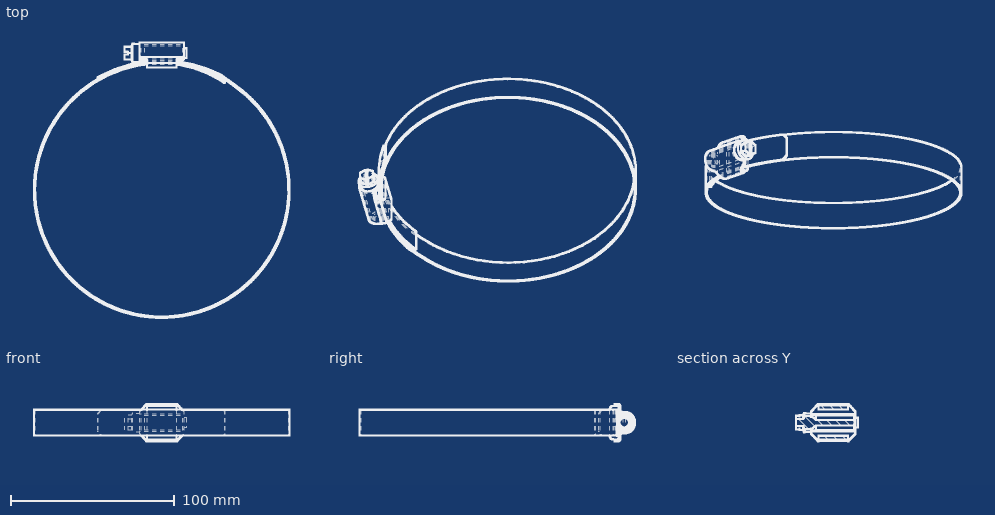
import cadquery as cq
import math


BAND_RADIUS = 78.19
BAND_THICKNESS = 0.8
BAND_WIDTH = 16.0
LAYER_GAP = 0.1
OUTER_END_ANGLE = -29.75
JOG_START_ANGLE = 27.0
JOG_END_ANGLE = 35.0
TAIL_START_ANGLE = -4.0
TAIL_END_ANGLE = 31.2
TAIL_CENTER_SHIFT = 8.0
TONGUE_LENGTH = 3.6
TONGUE_BEND = 3.0
OUTER_CORNER_CUT = 2.5
TONGUE_CORNER_CUT = 1.0

SCREW_Y = 83.6
HEAD_START_X = -22.85
HEAD_FLATS = 8.0
SLOT_WIDTH = 1.4
SLOT_DEPTH = 2.2
COLLAR_START_X = -18.4
COLLAR_BEVEL_LENGTH = 0.5
COLLAR_RADIUS = 6.0
COLLAR_LENGTH = 1.3
NECK_RADIUS = 5.7
JOURNAL_LENGTH = 1.0
SHAFT_RADIUS = 4.4
SHAFT_CONE_LENGTH = 2.2
SHAFT_END_X = 13.5
SHAFT_CHAMFER = 0.8
TIP_RADIUS = 3.0
TIP_END_X = 15.2

HOUSING_LENGTH = 27.4
DOME_RADIUS = 6.6
SHEET = 1.2
BORE_RADIUS = DOME_RADIUS - SHEET
FLANGE_TOP_Y = 81.3
FLANGE_BOTTOM_Y = FLANGE_TOP_Y - SHEET
FLANGE_HALF_WIDTH = 11.5
LIP_BOTTOM_Y = 77.7
LIP_BEND_RADIUS = 2.0
DOME_FOOT_FILLET = 0.9
DOME_RIM_FILLET = 0.5
LIP_LENGTH = 18.2

SADDLE_BOTTOM_Y = 74.7
SADDLE_FLOOR_Y = 76.65
SADDLE_BEND_RADIUS = 2.1
SADDLE_LENGTH = LIP_LENGTH


def polar(radius, angle, center=(0.0, 0.0)):
    """Point at a radius and an angle from +Y towards +X."""
    turn = math.radians(angle)
    return (center[0] + radius * math.sin(turn), center[1] + radius * math.cos(turn))


def make_band():
    ring_out = BAND_RADIUS
    ring_in = ring_out - BAND_THICKNESS
    layer_in = ring_out + LAYER_GAP
    layer_out = layer_in + BAND_THICKNESS
    tail_center = polar(TAIL_CENTER_SHIFT, TAIL_START_ANGLE)
    tail_out = ring_out - TAIL_CENTER_SHIFT
    tail_in = ring_in - TAIL_CENTER_SHIFT
    tail_middle_angle = (TAIL_START_ANGLE + TAIL_END_ANGLE) / 2
    layer_middle_angle = (OUTER_END_ANGLE + JOG_START_ANGLE) / 2
    far_angle = 180.0

    def tail_point(radius, angle):
        return polar(radius, angle, tail_center)

    def tongue_point(radius):
        start_x, start_y = tail_point(radius, TAIL_END_ANGLE)
        step_x, step_y = polar(TONGUE_LENGTH, TAIL_END_ANGLE + 90 + TONGUE_BEND)
        return (start_x + step_x, start_y + step_y)

    profile = (
        cq.Workplane("XY")
        .workplane(offset=-BAND_WIDTH / 2)
        .moveTo(*polar(layer_out, OUTER_END_ANGLE))
        .threePointArc(polar(layer_out, layer_middle_angle), polar(layer_out, JOG_START_ANGLE))
        .lineTo(*polar(ring_out, JOG_END_ANGLE))
        .threePointArc(polar(ring_out, far_angle), polar(ring_out, TAIL_START_ANGLE))
        .threePointArc(tail_point(tail_out, tail_middle_angle), tail_point(tail_out, TAIL_END_ANGLE))
        .lineTo(*tongue_point(tail_out))
        .lineTo(*tongue_point(tail_in))
        .lineTo(*tail_point(tail_in, TAIL_END_ANGLE))
        .threePointArc(tail_point(tail_in, tail_middle_angle), polar(ring_in, TAIL_START_ANGLE))
        .threePointArc(polar(ring_in, far_angle), polar(ring_in, JOG_END_ANGLE))
        .lineTo(*polar(layer_in, JOG_START_ANGLE))
        .threePointArc(polar(layer_in, layer_middle_angle), polar(layer_in, OUTER_END_ANGLE))
        .close()
    )
    band = profile.extrude(BAND_WIDTH)

    half_thickness = BAND_THICKNESS / 2
    strip_ends = (
        (polar(layer_in + half_thickness, OUTER_END_ANGLE), OUTER_CORNER_CUT),
        (tongue_point(tail_in + half_thickness), TONGUE_CORNER_CUT),
    )
    for (x, y), corner_cut in strip_ends:
        for z in (-BAND_WIDTH / 2, BAND_WIDTH / 2):
            corner = cq.selectors.NearestToPointSelector((x, y, z))
            band = band.edges(corner).chamfer(corner_cut)
    return band


def make_screw():
    neck_end_x = -HOUSING_LENGTH / 2
    journal_end_x = neck_end_x + JOURNAL_LENGTH
    collar_bevel_x = COLLAR_START_X + COLLAR_BEVEL_LENGTH
    collar_end_x = collar_bevel_x + COLLAR_LENGTH
    half_section = [
        (COLLAR_START_X, 0),
        (COLLAR_START_X, HEAD_FLATS / 2),
        (collar_bevel_x, COLLAR_RADIUS),
        (collar_end_x, NECK_RADIUS),
        (neck_end_x, NECK_RADIUS),
        (neck_end_x, BORE_RADIUS),
        (journal_end_x, BORE_RADIUS),
        (journal_end_x + SHAFT_CONE_LENGTH, SHAFT_RADIUS),
        (SHAFT_END_X - SHAFT_CHAMFER, SHAFT_RADIUS),
        (SHAFT_END_X, SHAFT_RADIUS - SHAFT_CHAMFER),
        (SHAFT_END_X, TIP_RADIUS),
        (TIP_END_X, TIP_RADIUS),
        (TIP_END_X, 0),
    ]
    turned = (
        cq.Workplane("XY", origin=(0, SCREW_Y, 0))
        .polyline(half_section)
        .close()
        .revolve(360, (0, 0, 0), (1, 0, 0))
    )
    head_plane = cq.Plane(origin=(HEAD_START_X, SCREW_Y, 0), xDir=(0, 0, -1), normal=(1, 0, 0))
    head = (
        cq.Workplane(head_plane)
        .polygon(6, HEAD_FLATS / math.cos(math.pi / 6))
        .extrude(COLLAR_START_X - HEAD_START_X)
    )
    slot = cq.Workplane("XY", origin=(HEAD_START_X, SCREW_Y, 0)).box(
        2 * SLOT_DEPTH, SLOT_WIDTH, 2 * HEAD_FLATS
    )
    return turned.union(head).cut(slot)


def make_housing():
    section_plane = cq.Workplane("YZ", origin=(-HOUSING_LENGTH / 2, 0, 0))
    flange = (
        section_plane.center((FLANGE_TOP_Y + LIP_BOTTOM_Y) / 2, 0)
        .rect(FLANGE_TOP_Y - LIP_BOTTOM_Y, 2 * FLANGE_HALF_WIDTH)
        .extrude(HOUSING_LENGTH)
        .edges("|X and >Y")
        .fillet(LIP_BEND_RADIUS)
    )
    outer_dome = (
        section_plane.moveTo(FLANGE_BOTTOM_Y, -DOME_RADIUS)
        .lineTo(SCREW_Y, -DOME_RADIUS)
        .threePointArc((SCREW_Y + DOME_RADIUS, 0), (SCREW_Y, DOME_RADIUS))
        .lineTo(FLANGE_BOTTOM_Y, DOME_RADIUS)
        .close()
        .extrude(HOUSING_LENGTH)
    )
    shell = flange.union(outer_dome)
    for side in (-1, 1):
        foot = cq.selectors.NearestToPointSelector((0, FLANGE_TOP_Y, side * DOME_RADIUS))
        shell = shell.edges(foot).fillet(DOME_FOOT_FILLET)

    half_length = HOUSING_LENGTH / 2
    outline = (
        cq.Workplane("XZ")
        .polyline(
            [
                (half_length, DOME_RADIUS),
                (LIP_LENGTH / 2, FLANGE_HALF_WIDTH),
                (-LIP_LENGTH / 2, FLANGE_HALF_WIDTH),
                (-half_length, DOME_RADIUS),
                (-half_length, -DOME_RADIUS),
                (-LIP_LENGTH / 2, -FLANGE_HALF_WIDTH),
                (LIP_LENGTH / 2, -FLANGE_HALF_WIDTH),
                (half_length, -DOME_RADIUS),
            ]
        )
        .close()
        .extrude(-(SCREW_Y + 2 * DOME_RADIUS))
    )
    shell = shell.intersect(outline)
    rims = cq.selectors.BoxSelector(
        (-HOUSING_LENGTH, SCREW_Y + DOME_RADIUS / 2, -DOME_RADIUS),
        (HOUSING_LENGTH, SCREW_Y + 2 * DOME_RADIUS, DOME_RADIUS),
    )
    shell = shell.edges("%CIRCLE").edges(rims).fillet(DOME_RIM_FILLET)

    bore = (
        section_plane.moveTo(LIP_BOTTOM_Y, -BORE_RADIUS)
        .lineTo(SCREW_Y, -BORE_RADIUS)
        .threePointArc((SCREW_Y + BORE_RADIUS, 0), (SCREW_Y, BORE_RADIUS))
        .lineTo(LIP_BOTTOM_Y, BORE_RADIUS)
        .close()
        .extrude(HOUSING_LENGTH)
    )
    return shell.cut(bore).cut(make_flange_inside(HOUSING_LENGTH, SADDLE_BOTTOM_Y))


def make_flange_inside(length, bottom_y):
    """Block that fills the space under the flange and between its lips."""
    half_width = FLANGE_HALF_WIDTH - SHEET
    return (
        cq.Workplane("XY", origin=(0, (FLANGE_BOTTOM_Y + bottom_y) / 2, 0))
        .box(length, FLANGE_BOTTOM_Y - bottom_y, 2 * half_width)
        .edges("|X and >Y")
        .fillet(LIP_BEND_RADIUS - SHEET)
    )


def make_saddle():
    body = (
        make_flange_inside(SADDLE_LENGTH, SADDLE_BOTTOM_Y)
        .edges("|X and <Y")
        .fillet(SADDLE_BEND_RADIUS)
    )
    channel_height = FLANGE_BOTTOM_Y - SADDLE_FLOOR_Y
    channel = cq.Workplane("XY", origin=(0, SADDLE_FLOOR_Y + channel_height / 2, 0)).box(
        SADDLE_LENGTH, channel_height, BAND_WIDTH
    )
    return body.cut(channel)


band = make_band()
screw = make_screw()
housing = make_housing()
saddle = make_saddle()

result = cq.Compound.makeCompound([band.val(), screw.val(), housing.val(), saddle.val()])